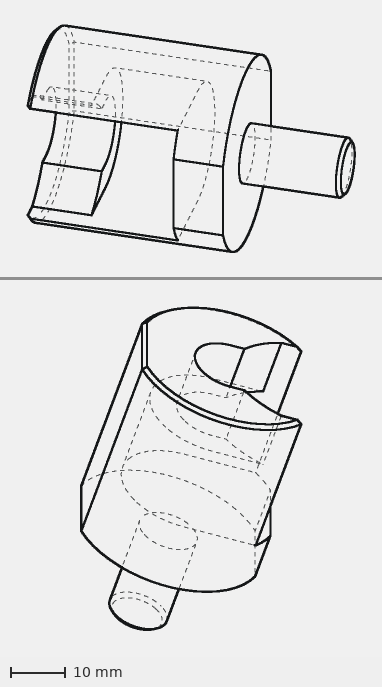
import cadquery as cq

total_length = 57.15
body_length = 38.05
body_diameter = 36.5
width_across_flats = 33.3
shaft_diameter = 11.15
chamfer = 0.75

mouth_depth = 11.25
cavity_depth = 28.7
pocket_radius = 11.95
mouth_radius = 6.8
throat_length = 2.7
flare_end = 9.8
flare_radius = 17.15
throat_bevel = 0.3

flare_start = throat_length + throat_bevel
flare_start_height = mouth_radius + throat_bevel
cut_reach = body_diameter


def make_body():
    """Round body with two flats and a chamfer around its open end."""
    body = cq.Workplane("YZ").circle(body_diameter / 2).extrude(body_length)
    flats = cq.Workplane("YZ").rect(width_across_flats, 2 * cut_reach).extrude(body_length)
    return body.intersect(flats).faces("<X").chamfer(chamfer)


def make_shaft():
    """Plain shaft with a chamfered tip."""
    shaft_length = total_length - body_length
    shaft = cq.Workplane("YZ", origin=(body_length, 0, 0)).circle(shaft_diameter / 2)
    return shaft.extrude(shaft_length).faces(">X").chamfer(chamfer)


def make_pocket():
    """Round-bottomed slot open toward -Y."""
    return (
        cq.Workplane("YZ", origin=(mouth_depth, 0, 0))
        .moveTo(-cut_reach, pocket_radius)
        .lineTo(0, pocket_radius)
        .threePointArc((pocket_radius, 0), (0, -pocket_radius))
        .lineTo(-cut_reach, -pocket_radius)
        .close()
        .extrude(cavity_depth - mouth_depth)
    )


def make_mouth():
    """Narrow slot whose walls flare out along arcs to the pocket width."""
    return (
        cq.Workplane("YZ")
        .moveTo(-cut_reach, pocket_radius)
        .lineTo(-flare_end, pocket_radius)
        .radiusArc((-flare_start, flare_start_height), flare_radius)
        .lineTo(-throat_length, mouth_radius)
        .lineTo(0, mouth_radius)
        .threePointArc((mouth_radius, 0), (0, -mouth_radius))
        .lineTo(-throat_length, -mouth_radius)
        .lineTo(-flare_start, -flare_start_height)
        .radiusArc((-flare_end, -pocket_radius), flare_radius)
        .lineTo(-cut_reach, -pocket_radius)
        .close()
        .extrude(mouth_depth)
    )


result = make_body().union(make_shaft()).cut(make_pocket()).cut(make_mouth())